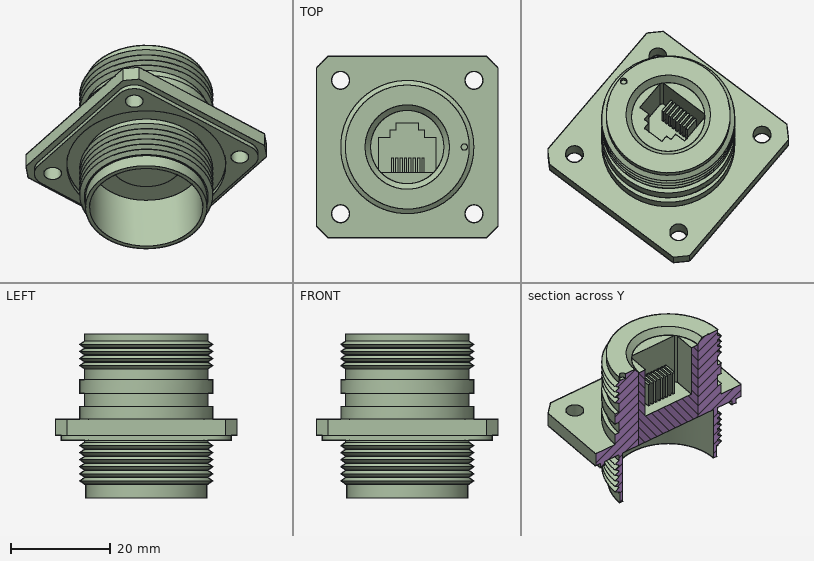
import cadquery as cq

FLANGE_SIDE = 36.58
FLANGE_CHAMFER = 2.35
RIM_SIDE = 34.25
RIM_OPENING_DIAMETER = 32.0
MOUNT_HOLE_DIAMETER = 3.55
MOUNT_HOLE_SPACING = 26.85

NOSE_TOP = 2.78
RIM_BOTTOM = 11.6
FLANGE_BOTTOM = 12.62
FLANGE_TOP = 15.88
COLLAR_TOP = 18.47
BAND_BOTTOM = 21.07
BAND_TOP = 23.85
SHELL_TOP = 33.05

NOSE_DIAMETER = 24.45
ROOT_DIAMETER = 24.95
CREST_DIAMETER = 26.8

LOWER_RIDGES = 6
UPPER_RIDGES = 4
LOWER_FIRST_CREST = 3.48
LOWER_LAST_CREST = 10.57
UPPER_FIRST_CREST = 26.65
THREAD_PITCH = (LOWER_LAST_CREST - LOWER_FIRST_CREST) / (LOWER_RIDGES - 1)
RIDGE_WIDTH = 1.28

MOUTH_TOP_DIAMETER = 16.97
BORE_DIAMETER = 14.75
MOUTH_CONE_DEPTH = 1.35
MOUTH_LIP = 0.07
REAR_RECESS_DIAMETER = 22.8
REAR_RECESS_TOP = FLANGE_BOTTOM
INSERT_TOP = SHELL_TOP - MOUTH_CONE_DEPTH - MOUTH_LIP

MARK_DIAMETER = 1.28
MARK_OFFSET = 11.5
MARK_DEPTH = 1.1

SOCKET_WIDTH = 11.52
SHOULDER_WIDTH = 6.88
KEY_WIDTH = 4.55
SOCKET_BOTTOM_Y = -5.1
SOCKET_TOP_Y = 1.95
SHOULDER_TOP_Y = 3.4
KEY_TOP_Y = 4.85
SOCKET_DEPTH = 12.07

CONTACT_COUNT = 8
CONTACT_PITCH = 0.88
CONTACT_WIDTH = 0.48
CONTACT_LENGTH = 2.93
CONTACT_HEIGHT = 5.5
CONTACT_ROW_OFFSET = 0.09


def cylinder(diameter, bottom, top):
    """Upright cylinder on the part axis between two heights."""
    return cq.Workplane("XY").workplane(offset=bottom).circle(diameter / 2).extrude(top - bottom)


def ridge_points(first_crest, count):
    """Evenly spaced V-shaped ridges, going up, with a narrow flat root between them."""
    points = []
    for i in range(count):
        crest_height = first_crest + i * THREAD_PITCH
        points.append((ROOT_DIAMETER / 2, crest_height - RIDGE_WIDTH / 2))
        points.append((CREST_DIAMETER / 2, crest_height))
        points.append((ROOT_DIAMETER / 2, crest_height + RIDGE_WIDTH / 2))
    return points


def make_barrel():
    """Turned body with both threads, the collar and the band."""
    nose = NOSE_DIAMETER / 2
    root = ROOT_DIAMETER / 2
    crest = CREST_DIAMETER / 2
    profile = [(0, 0), (nose, 0), (nose, NOSE_TOP), (root, NOSE_TOP)]
    profile += ridge_points(LOWER_FIRST_CREST, LOWER_RIDGES)
    profile += [(root, FLANGE_BOTTOM), (crest, FLANGE_BOTTOM), (crest, COLLAR_TOP), (root, COLLAR_TOP)]
    profile += [(root, BAND_BOTTOM), (crest, BAND_BOTTOM), (crest, BAND_TOP), (root, BAND_TOP)]
    profile += ridge_points(UPPER_FIRST_CREST, UPPER_RIDGES)
    profile += [(root, SHELL_TOP), (0, SHELL_TOP)]
    return cq.Workplane("XZ").polyline(profile).close().revolve(360, (0, 0), (0, 1))


def make_flange():
    """Square flange with chamfered corners."""
    plate = cq.Workplane("XY").workplane(offset=FLANGE_BOTTOM).rect(FLANGE_SIDE, FLANGE_SIDE)
    return plate.extrude(FLANGE_TOP - FLANGE_BOTTOM).edges("|Z").chamfer(FLANGE_CHAMFER)


def make_rim():
    """Square rim under the flange, corners rounded about the mounting holes, with a round opening."""
    corner_radius = (RIM_SIDE - MOUNT_HOLE_SPACING) / 2
    plate = cq.Workplane("XY").workplane(offset=RIM_BOTTOM).rect(RIM_SIDE, RIM_SIDE)
    rim = plate.extrude(FLANGE_BOTTOM - RIM_BOTTOM).edges("|Z").fillet(corner_radius)
    return rim.cut(cylinder(RIM_OPENING_DIAMETER, RIM_BOTTOM, FLANGE_BOTTOM))


def make_mount_holes():
    """Four holes through the flange and the rim."""
    corners = cq.Workplane("XY").workplane(offset=RIM_BOTTOM)
    corners = corners.rect(MOUNT_HOLE_SPACING, MOUNT_HOLE_SPACING, forConstruction=True).vertices()
    return corners.circle(MOUNT_HOLE_DIAMETER / 2).extrude(FLANGE_TOP - RIM_BOTTOM)


def make_mouth():
    """Tapered opening in the top face, ending in a short straight lip."""
    bore = BORE_DIAMETER / 2
    cone_bottom = SHELL_TOP - MOUTH_CONE_DEPTH
    profile = [
        (0, INSERT_TOP),
        (bore, INSERT_TOP),
        (bore, cone_bottom),
        (MOUTH_TOP_DIAMETER / 2, SHELL_TOP),
        (0, SHELL_TOP),
    ]
    return cq.Workplane("XZ").polyline(profile).close().revolve(360, (0, 0), (0, 1))


def make_index_mark():
    """Blind hole in the top face, on the +X side."""
    top_face = cq.Workplane("XY").workplane(offset=SHELL_TOP)
    return top_face.center(MARK_OFFSET, 0).circle(MARK_DIAMETER / 2).extrude(-MARK_DEPTH)


def make_shell():
    """Threaded flange shell with a through bore that widens into the rear recess."""
    shell = make_barrel().union(make_flange().union(make_rim()))
    shell = shell.cut(make_mount_holes()).cut(make_mouth()).cut(make_index_mark())
    shell = shell.cut(cylinder(BORE_DIAMETER, REAR_RECESS_TOP, INSERT_TOP))
    return shell.cut(cylinder(REAR_RECESS_DIAMETER, 0, REAR_RECESS_TOP))


def make_socket():
    """Stepped jack opening, widest at the contact side."""
    right_side = [
        (SOCKET_WIDTH / 2, SOCKET_BOTTOM_Y),
        (SOCKET_WIDTH / 2, SOCKET_TOP_Y),
        (SHOULDER_WIDTH / 2, SOCKET_TOP_Y),
        (SHOULDER_WIDTH / 2, SHOULDER_TOP_Y),
        (KEY_WIDTH / 2, SHOULDER_TOP_Y),
        (KEY_WIDTH / 2, KEY_TOP_Y),
    ]
    left_side = [(-x, y) for x, y in reversed(right_side)]
    outline = cq.Workplane("XY").workplane(offset=INSERT_TOP).polyline(right_side + left_side)
    return outline.close().extrude(-SOCKET_DEPTH)


def make_contacts():
    """Row of blades standing on the socket floor, against its wide wall."""
    floor = cq.Workplane("XY").workplane(offset=INSERT_TOP - SOCKET_DEPTH)
    row = floor.center(CONTACT_ROW_OFFSET, SOCKET_BOTTOM_Y + CONTACT_LENGTH / 2)
    row = row.rarray(CONTACT_PITCH, 0.35, CONTACT_COUNT, 1)
    return row.rect(CONTACT_WIDTH, CONTACT_LENGTH).extrude(CONTACT_HEIGHT)


def make_insert():
    """Round jack insert in the bore; the lower socket corners break out through its side."""
    body = cylinder(BORE_DIAMETER, REAR_RECESS_TOP, INSERT_TOP)
    return body.cut(make_socket()).union(make_contacts())


shell = make_shell()
insert = make_insert()
result = cq.Compound.makeCompound([shell.val(), insert.val()])